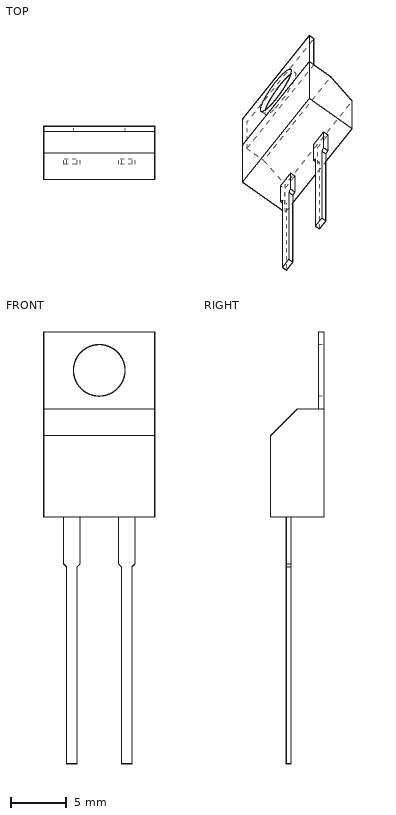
import cadquery as cq

total_height = 38.7
width = 10.0
depth = 4.8

tab_thickness = 0.5
tab_height = 6.9
hole_diameter = 4.6
hole_drop = 3.45

housing_height = 9.7
housing_chamfer = 2.4

lead_pitch = 4.9
lead_thickness = 0.45
lead_back_offset = 2.95
shoulder_width = 1.5
leg_width = 0.95
shoulder_length = 4.18
taper_length = (shoulder_width - leg_width) / 2
lead_length = total_height - tab_height - housing_height


def make_housing():
    """Block with a large chamfer along its upper front edge."""
    block = cq.Workplane("XY").box(width, depth, housing_height, centered=(True, False, False))
    block = block.translate((0, -depth, 0))
    return block.faces(">Z").edges("<Y").chamfer(housing_chamfer)


def make_tab():
    """Thin plate with a round mounting hole through it."""
    plate = cq.Workplane("XY").box(width, tab_thickness, tab_height, centered=(True, False, False))
    plate = plate.translate((0, -tab_thickness, housing_height))
    hole_z = housing_height + tab_height - hole_drop
    hole = (
        cq.Workplane("XZ")
        .center(0, hole_z)
        .circle(hole_diameter / 2)
        .extrude(tab_thickness)
    )
    return plate.cut(hole)


def make_lead(x):
    """Flat lead centred at x, hanging from the underside of the housing."""
    taper_end = shoulder_length + taper_length
    right_side = [
        (shoulder_width / 2, 0),
        (shoulder_width / 2, -shoulder_length),
        (leg_width / 2, -taper_end),
        (leg_width / 2, -lead_length),
    ]
    left_side = [(-px, pz) for px, pz in reversed(right_side)]
    blade = cq.Workplane("XZ").polyline(right_side + left_side).close().extrude(lead_thickness)
    return blade.translate((x, -lead_back_offset, 0))


housing = make_housing()
tab = make_tab()
leads = [make_lead(side * lead_pitch / 2) for side in (-1, 1)]

result = cq.Compound.makeCompound([housing.val(), tab.val(), *[lead.val() for lead in leads]])